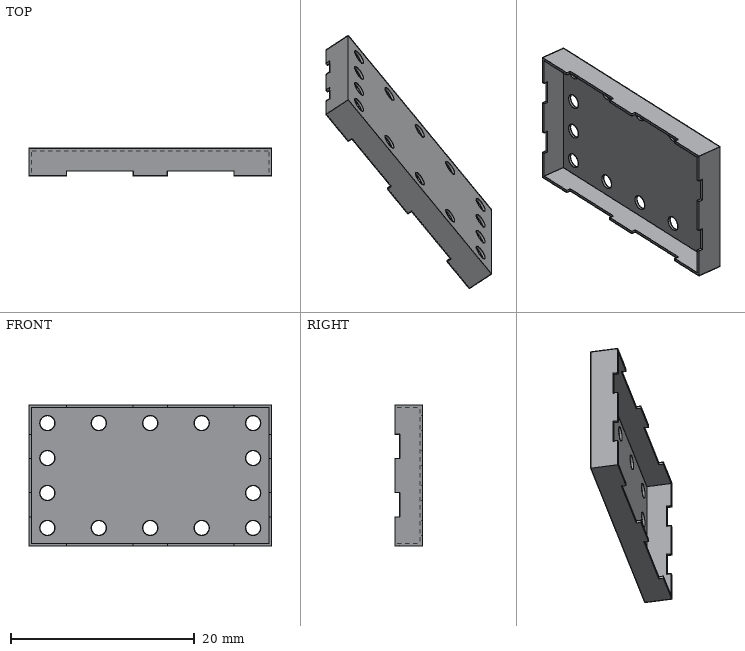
import cadquery as cq

length = 26.4
depth = 3.0
height = 15.4
wall = 0.3

notch_depth = 0.5
center_tab = 3.75
long_notch = 7.23
short_notch = 2.61

hole_diameter = 1.6
columns = 5
rows = 4
column_pitch = 5.6
row_pitch = 3.8


def make_can():
    """Closed back plate at +Y with four walls; centred in X and Z, rim at Y = 0."""
    outer = cq.Workplane("XY").box(length, depth, height, centered=(True, False, True))
    cavity = cq.Workplane("XY").box(
        length - 2 * wall, depth - wall, height - 2 * wall, centered=(True, False, True)
    )
    return outer.cut(cavity)


def rim_notches():
    """Cutters running through opposite walls, as deep as the notches on the +Y side of Y = 0."""
    long_offset = (center_tab + long_notch) / 2
    short_offset = (center_tab + short_notch) / 2
    long_cutters = (
        cq.Workplane("XZ")
        .pushPoints([(-long_offset, 0), (long_offset, 0)])
        .rect(long_notch, height)
        .extrude(-notch_depth)
    )
    short_cutters = (
        cq.Workplane("XZ")
        .pushPoints([(0, -short_offset), (0, short_offset)])
        .rect(length, short_notch)
        .extrude(-notch_depth)
    )
    return long_cutters.union(short_cutters)


def border_holes():
    """Cylinders on the outermost rows and columns of the hole grid."""
    points = []
    for column in range(columns):
        for row in range(rows):
            if column in (0, columns - 1) or row in (0, rows - 1):
                x = (column - (columns - 1) / 2) * column_pitch
                z = (row - (rows - 1) / 2) * row_pitch
                points.append((x, z))
    return cq.Workplane("XZ").pushPoints(points).circle(hole_diameter / 2).extrude(-depth)


result = make_can().cut(rim_notches()).cut(border_holes())